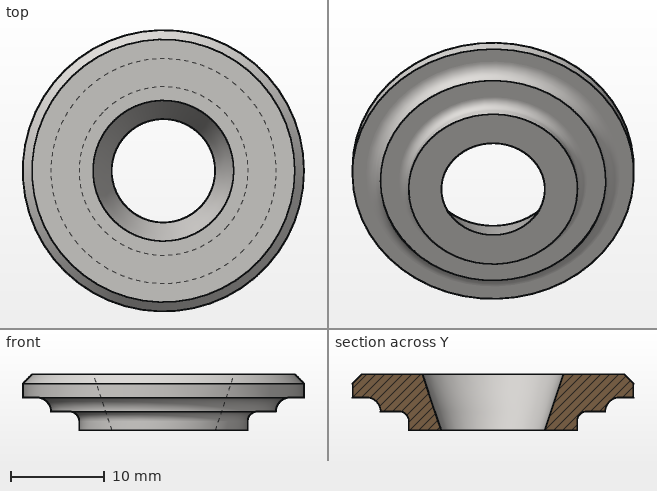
import cadquery as cq

plate_radius = 15.0
plate_thickness = 2.5
rim_chamfer = 1.0

middle_radius = 12.0
middle_height = 1.5

spigot_radius = 9.0
spigot_height = 2.0
spigot_fillet = 1.0

bore_top_radius = 7.5
bore_bottom_radius = 5.5

middle_bottom = spigot_height
plate_bottom = middle_bottom + middle_height
total_height = plate_bottom + plate_thickness


def add_cove(profile, wall_radius, ceiling_z, radius):
    """Continue the profile with a concave quarter arc from a wall up to a ceiling."""
    return profile.radiusArc((wall_radius + radius, ceiling_z), radius)


def make_washer():
    """Revolve the half section; sketch X is the radius and sketch Y is the height."""
    profile = (
        cq.Workplane("XZ")
        .moveTo(bore_bottom_radius, 0)
        .lineTo(spigot_radius, 0)
        .lineTo(spigot_radius, spigot_height - spigot_fillet)
    )
    profile = add_cove(profile, spigot_radius, middle_bottom, spigot_fillet)
    profile = profile.lineTo(middle_radius, middle_bottom)
    profile = add_cove(profile, middle_radius, plate_bottom, middle_height)
    profile = (
        profile.lineTo(plate_radius, plate_bottom)
        .lineTo(plate_radius, total_height - rim_chamfer)
        .lineTo(plate_radius - rim_chamfer, total_height)
        .lineTo(bore_top_radius, total_height)
        .close()
    )
    return profile.revolve(360, (0, 0, 0), (0, 1, 0))


result = make_washer()